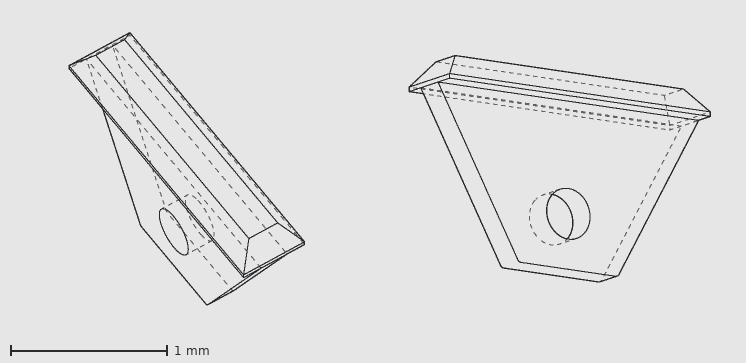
import cadquery as cq

length = 2.0
cap_width = 0.47
total_height = 1.29

rim_height = 0.03
bevel_height = 0.158
bevel_inset = 0.125

plate_thickness = 0.2
plate_bottom_length = 0.76
plate_corner_radius = 0.03
hole_diameter = 0.332
hole_height = 0.365

plate_height = total_height - rim_height - bevel_height


def make_cap():
    """Rim with a crown whose four sides slope inward equally."""
    rim_top = plate_height + rim_height
    rim = (
        cq.Workplane("XY")
        .workplane(offset=plate_height)
        .rect(length, cap_width)
        .extrude(rim_height)
    )
    crown = (
        cq.Workplane("XY")
        .workplane(offset=rim_top)
        .rect(length, cap_width)
        .workplane(offset=bevel_height)
        .rect(length - 2 * bevel_inset, cap_width - 2 * bevel_inset)
        .loft(ruled=True)
    )
    return rim.union(crown)


def make_plate():
    """Trapezoidal plate with rounded bottom corners and a round through hole."""
    outline = [
        (-plate_bottom_length / 2, 0),
        (plate_bottom_length / 2, 0),
        (length / 2, plate_height),
        (-length / 2, plate_height),
    ]
    plate = (
        cq.Workplane("XZ", origin=(0, plate_thickness / 2, 0))
        .polyline(outline)
        .close()
        .extrude(plate_thickness)
        .edges("|Y and <Z")
        .fillet(plate_corner_radius)
    )
    hole = (
        cq.Workplane("XZ", origin=(0, plate_thickness / 2, 0))
        .center(0, hole_height)
        .circle(hole_diameter / 2)
        .extrude(plate_thickness)
    )
    return plate.cut(hole)


result = make_cap().union(make_plate())